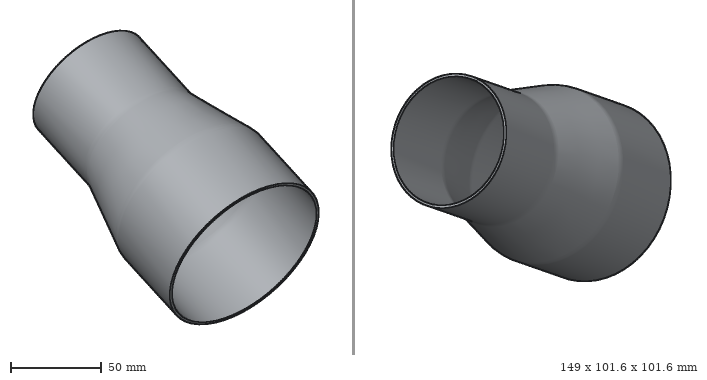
import cadquery as cq
import math

length = 149.0
small_radius = 76.1 / 2
large_radius = 101.6 / 2
wall = 1.6
tube_length = 48.9
bend_tangent = 2.0

cone_length = length - 2 * (tube_length + bend_tangent)
cone_angle = math.atan2(large_radius - small_radius, cone_length)
bend_radius = bend_tangent / math.tan(cone_angle / 2)
large_tube_start = length - tube_length


def small_bend_point(angle, depth):
    """Point on the concave bend, at a depth below the outer skin."""
    radius = bend_radius + depth
    center_height = small_radius + bend_radius
    return (tube_length + radius * math.sin(angle), center_height - radius * math.cos(angle))


def large_bend_point(angle, depth):
    """Point on the convex bend, at a depth below the outer skin."""
    radius = bend_radius - depth
    center_height = large_radius - bend_radius
    return (large_tube_start - radius * math.sin(angle), center_height + radius * math.cos(angle))


def reducer_body(depth):
    """Solid of revolution whose surface lies at a depth below the outer skin."""
    profile = (
        cq.Workplane("XY")
        .moveTo(0, 0)
        .lineTo(0, small_radius - depth)
        .lineTo(*small_bend_point(0, depth))
        .threePointArc(small_bend_point(cone_angle / 2, depth), small_bend_point(cone_angle, depth))
        .lineTo(*large_bend_point(cone_angle, depth))
        .threePointArc(large_bend_point(cone_angle / 2, depth), large_bend_point(0, depth))
        .lineTo(length, large_radius - depth)
        .lineTo(length, 0)
        .close()
    )
    return profile.revolve(360, (0, 0, 0), (1, 0, 0))


result = reducer_body(0).cut(reducer_body(wall))